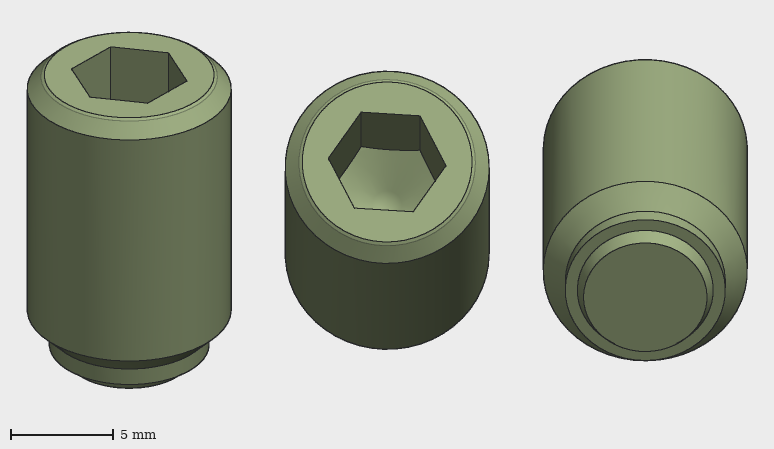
import cadquery as cq
import math

LENGTH = 16.0
BODY_RADIUS = 5.0

TOP_FACE_RADIUS = 4.16
TOP_RIM_RADIUS = 4.32
TOP_RIM_DROP = 0.1
TOP_CHAMFER = BODY_RADIUS - TOP_RIM_RADIUS

PAD_HEIGHT = 0.74
PAD_TOP_RADIUS = 3.33
PAD_TIP_RADIUS = 3.02
NECK_RADIUS = 3.92
NECK_HEIGHT = 0.88
BOTTOM_CHAMFER = BODY_RADIUS - NECK_RADIUS

SOCKET_ACROSS_FLATS = 5.0
SOCKET_DEPTH = 5.0
SOCKET_CONE_ANGLE = 120.0


def make_screw_blank():
    """Revolve the stepped and chamfered outside of the screw."""
    neck_top = PAD_HEIGHT + NECK_HEIGHT
    rim_height = LENGTH - TOP_RIM_DROP
    profile = [
        (0, PAD_HEIGHT),
        (NECK_RADIUS, PAD_HEIGHT),
        (NECK_RADIUS, neck_top),
        (BODY_RADIUS, neck_top + BOTTOM_CHAMFER),
        (BODY_RADIUS, rim_height - TOP_CHAMFER),
        (TOP_RIM_RADIUS, rim_height),
        (TOP_FACE_RADIUS, LENGTH),
        (0, LENGTH),
    ]
    return cq.Workplane("XZ").polyline(profile).close().revolve(360, (0, 0), (0, 1))


def make_socket():
    """Hexagonal recess whose floor is a cone with its apex on the axis."""
    corner_radius = SOCKET_ACROSS_FLATS / math.sqrt(3)
    cone_depth = corner_radius / math.tan(math.radians(SOCKET_CONE_ANGLE / 2))
    cone_top = LENGTH - SOCKET_DEPTH
    apex_height = cone_top - cone_depth

    hexagon = (
        cq.Workplane("XY")
        .workplane(offset=apex_height)
        .polygon(6, 2 * corner_radius)
        .extrude(LENGTH - apex_height)
    )
    drill_profile = [
        (0, apex_height),
        (corner_radius, cone_top),
        (corner_radius, LENGTH),
        (0, LENGTH),
    ]
    drill = cq.Workplane("XZ").polyline(drill_profile).close().revolve(360, (0, 0), (0, 1))
    return hexagon.intersect(drill)


def make_pad():
    """Tapered thrust pad seated against the end face of the neck."""
    profile = [
        (0, 0),
        (PAD_TIP_RADIUS, 0),
        (PAD_TOP_RADIUS, PAD_HEIGHT),
        (0, PAD_HEIGHT),
    ]
    return cq.Workplane("XZ").polyline(profile).close().revolve(360, (0, 0), (0, 1))


screw = make_screw_blank().cut(make_socket())
pad = make_pad()

result = cq.Compound.makeCompound([screw.val(), pad.val()])